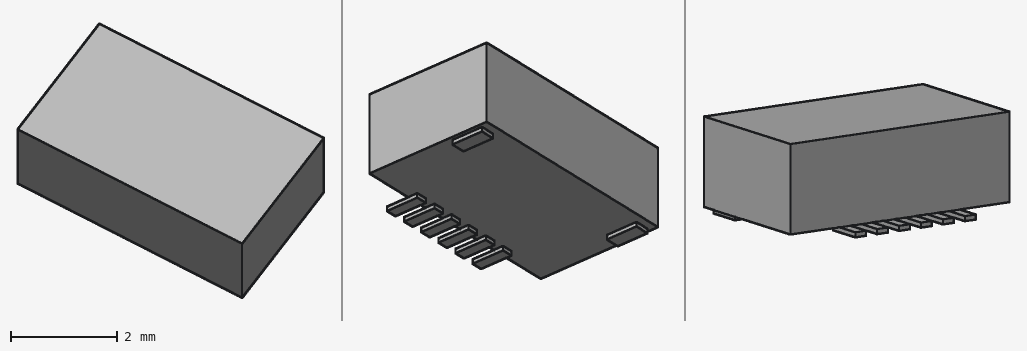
import cadquery as cq

housing_length = 5.0
housing_depth = 2.9
housing_height = 1.75

terminal_thickness = 0.1

pin_count = 6
pin_pitch = 0.5
pin_width = 0.25
pin_length = 0.75
pin_overhang = 0.52

pad_width = 0.325
pad_length = 0.73
pad_end_inset = 0.085
pad_front_inset = 0.19

rear_face_y = housing_depth / 2
pin_center_y = rear_face_y + pin_overhang - pin_length / 2
pad_center_x = housing_length / 2 - pad_end_inset - pad_width / 2
pad_center_y = -housing_depth / 2 + pad_front_inset + pad_length / 2


def make_housing():
    """Plain rectangular block standing on the terminals."""
    return cq.Workplane("XY").box(
        housing_length, housing_depth, housing_height, centered=(True, True, False)
    )


def make_terminal(width, length, center_x, center_y):
    """Flat strip whose top face touches the housing underside."""
    strip = cq.Workplane("XY").box(
        width, length, terminal_thickness, centered=(True, True, False)
    )
    return strip.translate((center_x, center_y, -terminal_thickness))


def make_pin(index):
    """Signal pin in the evenly spaced row, counted from the -X end."""
    center_x = (index - (pin_count - 1) / 2) * pin_pitch
    return make_terminal(pin_width, pin_length, center_x, pin_center_y)


def make_pad(side):
    """Mounting pad at the -X (side = -1) or +X (side = 1) end."""
    return make_terminal(pad_width, pad_length, side * pad_center_x, pad_center_y)


housing = make_housing()
pins = [make_pin(index) for index in range(pin_count)]
pads = [make_pad(side) for side in (-1, 1)]

result = cq.Compound.makeCompound(
    [housing.val(), *[pin.val() for pin in pins], *[pad.val() for pad in pads]]
)